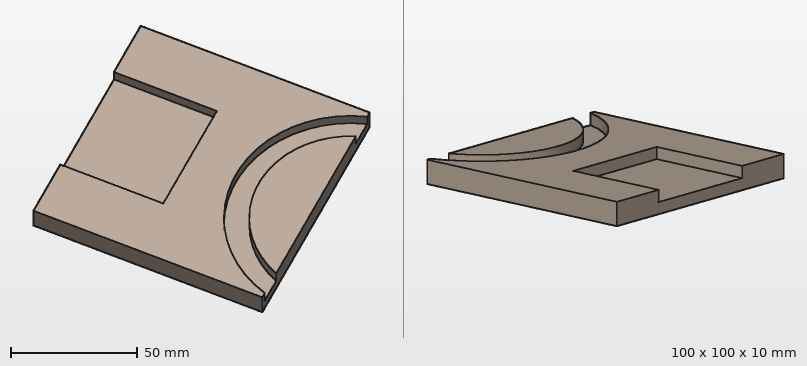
import cadquery as cq

side = 100.0
thickness = 10.0

recess_depth = 5.0
floor_z = thickness - recess_depth

pocket_length = 45.0
pocket_width = 50.0

groove_outer_radius = 50.0
groove_width = 10.0
groove_inner_radius = groove_outer_radius - groove_width
groove_center_overhang = 15.0
groove_center_x = side / 2 + groove_center_overhang


def make_plate():
    return cq.Workplane("XY").box(side, side, thickness, centered=(True, True, False))


def make_pocket():
    return (
        cq.Workplane("XY", origin=(-side / 2, 0, floor_z))
        .box(pocket_length, pocket_width, recess_depth, centered=(False, True, False))
    )


def make_groove():
    return (
        cq.Workplane("XY", origin=(groove_center_x, 0, floor_z))
        .circle(groove_outer_radius)
        .circle(groove_inner_radius)
        .extrude(recess_depth)
    )


result = make_plate().cut(make_pocket()).cut(make_groove())